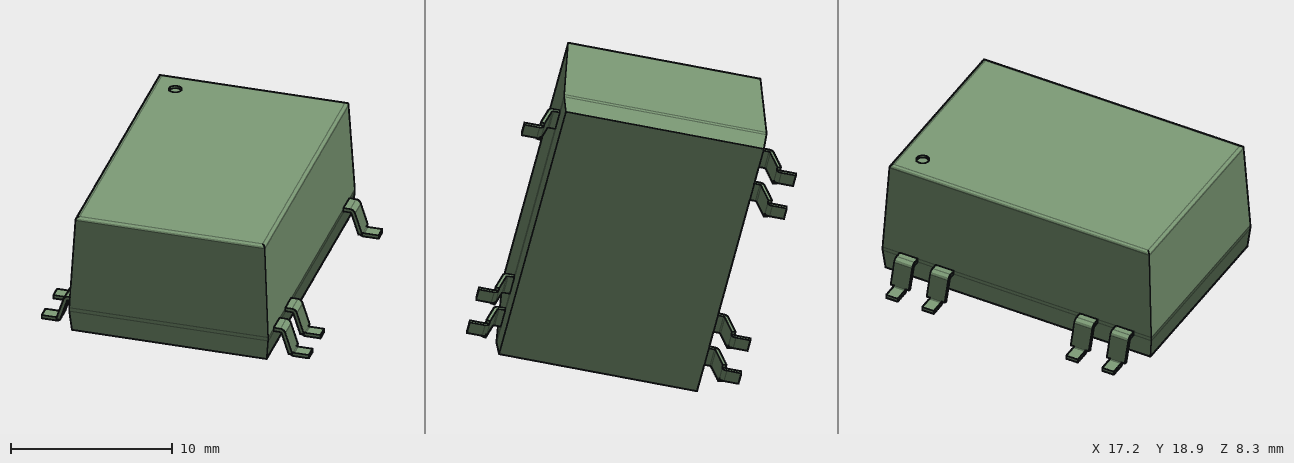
import cadquery as cq
import math

body_length = 18.9
body_width = 12.81
lead_span = 17.2
top_height = 8.3

lead_thickness = 0.25
shoulder_top = 1.97
foot_width = 0.81
leg_width = 1.27
foot_corner_x = 7.62
shoulder_corner_x = 7.07
lower_inside_radius = 0.05
lower_outside_radius = lower_inside_radius + lead_thickness
upper_inside_radius = 0.1
upper_outside_radius = upper_inside_radius + lead_thickness

lead_pitch = 2.53
left_lead_rows = [-3, -2, 2, 3]
right_lead_rows = [-3, -2, 3]

belt_top = shoulder_top
belt_bottom = shoulder_top - lead_thickness
body_bottom = 0.3
upper_draft = 2.9
lower_draft = 5.5
top_edge_radius = 0.2

mark_diameter = 0.8
mark_depth = 0.17
mark_x = -4.61
mark_y = max(left_lead_rows) * lead_pitch


def housing_block(start_z, height, draft):
    """Rectangular block rising (or, if height is negative, hanging) from start_z."""
    return (
        cq.Workplane("XY", origin=(0, 0, start_z))
        .rect(body_width, body_length)
        .extrude(height, taper=draft)
    )


def make_housing():
    upper = housing_block(belt_top, top_height - belt_top, upper_draft)
    upper = upper.faces(">Z").edges().fillet(top_edge_radius)
    belt = housing_block(belt_bottom, lead_thickness, 0)
    lower = housing_block(belt_bottom, body_bottom - belt_bottom, lower_draft)
    mark = (
        cq.Workplane("XY", origin=(mark_x, mark_y, top_height - mark_depth))
        .circle(mark_diameter / 2)
        .extrude(mark_depth)
    )
    return upper.union(belt).union(lower).cut(mark)


leg_angle = math.atan2(shoulder_top - lead_thickness, foot_corner_x - shoulder_corner_x)
bend_setback = math.tan(leg_angle / 2)
foot_bend_u = lead_span / 2 - foot_corner_x - lower_inside_radius * bend_setback
shoulder_bend_u = lead_span / 2 - shoulder_corner_x + upper_outside_radius * bend_setback
lead_reach = (lead_span - body_width) / 2


def foot_bend_point(radius, angle):
    """Point on the lower bend, turned by angle from the foot."""
    center_v = lead_thickness + lower_inside_radius
    return (foot_bend_u + radius * math.sin(angle), center_v - radius * math.cos(angle))


def shoulder_bend_point(radius, angle):
    """Point on the upper bend, turned back by angle from the shoulder."""
    center_v = shoulder_top - upper_outside_radius
    return (shoulder_bend_u - radius * math.sin(angle), center_v + radius * math.cos(angle))


def extrude_strip(profile, width):
    return profile.close().extrude(width / 2, both=True)


def make_lead():
    """Lead lying along +X from its foot tip at the origin, centred on Y = 0."""
    half_angle = leg_angle / 2
    foot = extrude_strip(
        cq.Workplane("XZ")
        .lineTo(foot_bend_u, 0)
        .threePointArc(
            foot_bend_point(lower_outside_radius, half_angle),
            foot_bend_point(lower_outside_radius, leg_angle),
        )
        .lineTo(*foot_bend_point(lower_inside_radius, leg_angle))
        .threePointArc(foot_bend_point(lower_inside_radius, half_angle), (foot_bend_u, lead_thickness))
        .lineTo(0, lead_thickness),
        foot_width,
    )
    leg = extrude_strip(
        cq.Workplane("XZ")
        .moveTo(*foot_bend_point(lower_outside_radius, leg_angle))
        .lineTo(*shoulder_bend_point(upper_inside_radius, leg_angle))
        .threePointArc(
            shoulder_bend_point(upper_inside_radius, half_angle), (shoulder_bend_u, belt_bottom)
        )
        .lineTo(lead_reach, belt_bottom)
        .lineTo(lead_reach, shoulder_top)
        .lineTo(shoulder_bend_u, shoulder_top)
        .threePointArc(
            shoulder_bend_point(upper_outside_radius, half_angle),
            shoulder_bend_point(upper_outside_radius, leg_angle),
        )
        .lineTo(*foot_bend_point(lower_inside_radius, leg_angle)),
        leg_width,
    )
    return foot.union(leg)


def place_leads(rows, turn, tip_x):
    """One lead per row, turned about Z, with its foot tip at tip_x."""
    leads = []
    for row in rows:
        lead = make_lead().rotate((0, 0, 0), (0, 0, 1), turn).translate((tip_x, row * lead_pitch, 0))
        leads.append(lead.val())
    return leads


housing = make_housing()
left_leads = place_leads(left_lead_rows, 0, -lead_span / 2)
right_leads = place_leads(right_lead_rows, 180, lead_span / 2)

result = cq.Compound.makeCompound([housing.val(), *left_leads, *right_leads])